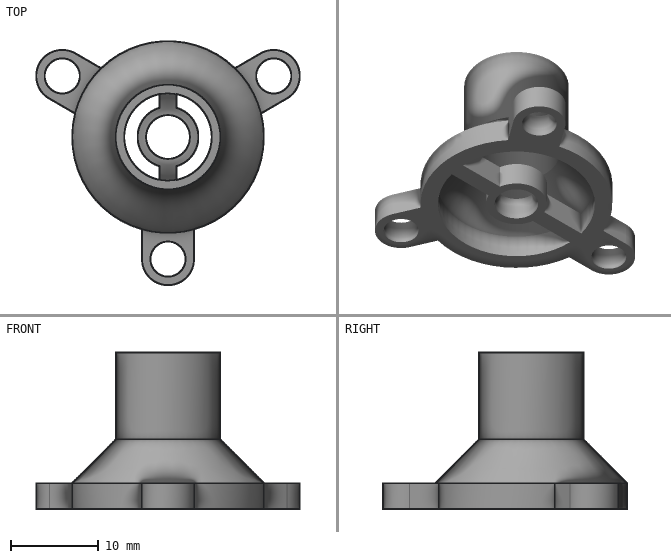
import cadquery as cq

flange_diameter = 22.0
flange_height = 3.0
flange_bore = 18.0

cone_height = 5.0
tube_outer_diameter = 12.0
tube_bore = 10.0
tube_length = 10.0
cone_top = flange_height + cone_height
total_height = cone_top + tube_length

lug_count = 3
lug_pitch_radius = 14.0
lug_width = 6.0
lug_hole_diameter = 4.0
first_lug_angle = -90.0

ring_outer_diameter = 7.0
ring_bore = 5.0
arm_width = 2.0
arm_span = (flange_bore + flange_diameter) / 2


def revolved(bottom_diameter, top_diameter):
    """Solid of revolution: cylinder, cone, then cylinder up to the tube end."""
    bottom_radius = bottom_diameter / 2
    top_radius = top_diameter / 2
    profile = [
        (0, 0),
        (bottom_radius, 0),
        (bottom_radius, flange_height),
        (top_radius, cone_top),
        (top_radius, total_height),
        (0, total_height),
    ]
    return cq.Workplane("XZ").polyline(profile).close().revolve(360, (0, 0, 0), (0, 1, 0))


def cylinder(diameter, height):
    return cq.Workplane("XY").circle(diameter / 2).extrude(height)


def lug(angle):
    """Radial bar with a rounded outer end and a vertical screw hole."""
    bar = (
        cq.Workplane("XY")
        .center(lug_pitch_radius / 2, 0)
        .rect(lug_pitch_radius, lug_width)
        .extrude(flange_height)
    )
    rounded_end = cylinder(lug_width, flange_height).translate((lug_pitch_radius, 0, 0))
    hole = cylinder(lug_hole_diameter, flange_height).translate((lug_pitch_radius, 0, 0))
    return bar.union(rounded_end).cut(hole).rotate((0, 0, 0), (0, 0, 1), angle)


def ring_with_arms():
    """Ring on the axis, held by two opposite arms along Y."""
    arms = cq.Workplane("XY").rect(arm_width, arm_span).extrude(flange_height)
    ring = cylinder(ring_outer_diameter, flange_height)
    return arms.union(ring).cut(cylinder(ring_bore, flange_height))


body = revolved(flange_diameter, tube_outer_diameter)
for index in range(lug_count):
    body = body.union(lug(first_lug_angle + index * 360 / lug_count))

body = body.cut(revolved(flange_bore, tube_bore))

result = body.union(ring_with_arms())